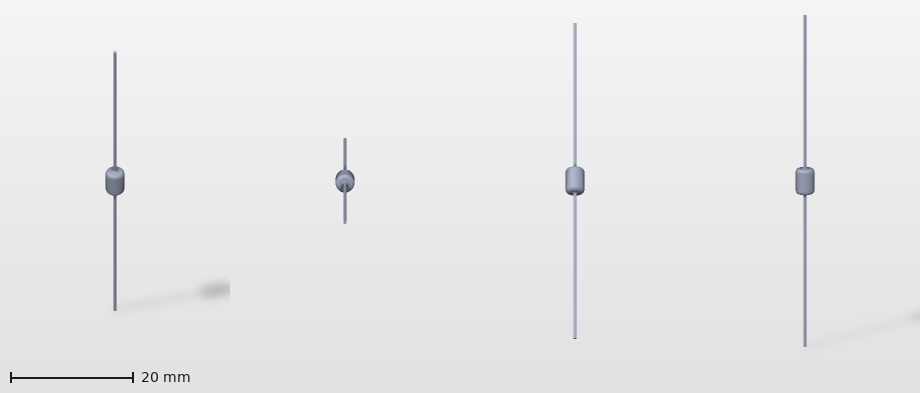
import cadquery as cq

total_length = 55.9
body_diameter = 3.1
body_length = 4.3
lead_diameter = 0.55
body_edge_radius = 0.6
lead_root_radius = 0.365

body = (
    cq.Workplane("XY")
    .cylinder(body_length, body_diameter / 2)
    .faces("<Z or >Z")
    .edges()
    .fillet(body_edge_radius)
)

wire = cq.Workplane("XY").cylinder(total_length, lead_diameter / 2)
part = body.union(wire)

root_circles = cq.selectors.BoxSelector(
    (-lead_diameter, -lead_diameter, -body_length),
    (lead_diameter, lead_diameter, body_length),
    boundingbox=True,
)
result = part.edges("%CIRCLE").edges(root_circles).fillet(lead_root_radius)